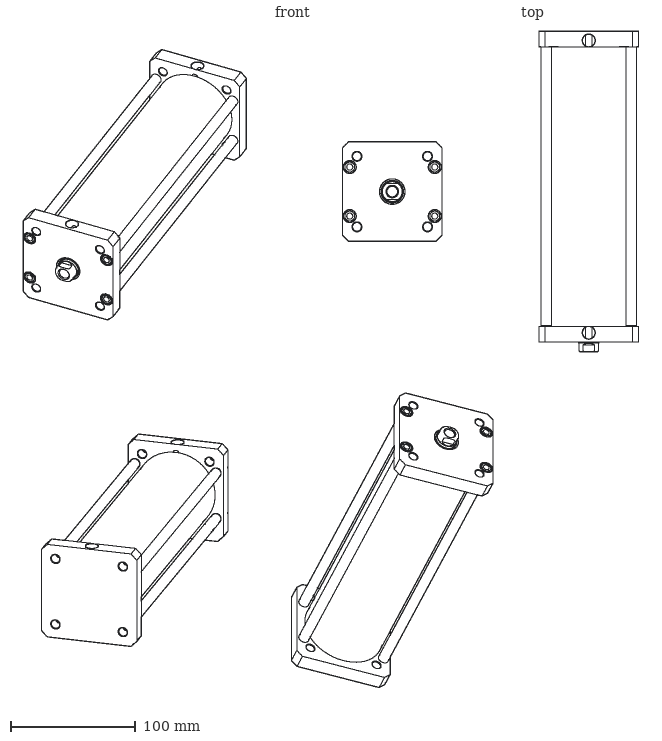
import cadquery as cq
import math

total_length = 257.0
rod_projection = 8.0
cap_thickness = 12.5
front_face_y = rod_projection
tube_front_y = front_face_y + cap_thickness
rear_cap_y = total_length - cap_thickness

cap_width = 80.0
corner_chamfer = 5.0
mount_spacing = 56.5
mount_diameter = 7.0
mount_chamfer = 0.5

port_diameter = 10.0
port_mouth = 10.5
port_depth = 10.3
bar_depth = 7.7
port_inset = 5.1
drill_tip_angle = 118.0
bar_diameter = 5.0
front_port_y = tube_front_y - port_inset
rear_port_y = rear_cap_y + port_inset

tube_diameter = 66.0
bore_diameter = 63.0

tie_circle_diameter = 78.6
tie_angle = 30.0
tie_diameter = 8.5
tie_neck_diameter = 8.0
tie_neck_gap = 0.8
tie_recess_diameter = 10.0
tie_recess_mouth = 10.5
tie_recess_depth = 1.3
tie_hole_diameter = 5.0
tie_hole_depth = 5.1

shaft_diameter = 16.5
shaft_projection = 0.8
head_diameter = 16.0
head_length = rod_projection - shaft_projection
rod_flats = 12.8
flat_length = 5.5
tip_fillet = 1.5
rod_hole_diameter = 8.5
rod_hole_mouth = 10.0
rod_hole_depth = 15.5
rod_hole_tip_angle = 160.0

seal_diameter = 20.3
seal_mouth = 20.5
seal_depth = 0.8
inner_seal_diameter = 17.7
inner_seal_mouth = 18.0
inner_seal_depth = 0.8

tie_x = tie_circle_diameter / 2 * math.cos(math.radians(tie_angle))
tie_z = tie_circle_diameter / 2 * math.sin(math.radians(tie_angle))
tie_points = [(x, z) for x in (-tie_x, tie_x) for z in (-tie_z, tie_z)]
mount_points = [(x, z) for x in (-mount_spacing / 2, mount_spacing / 2)
                for z in (-mount_spacing / 2, mount_spacing / 2)]


def rod_along_y(x, z, y_start, y_end, diameter):
    """A plain cylinder parallel to Y."""
    base = cq.Workplane("XZ", origin=(x, y_start, z))
    return base.circle(diameter / 2).extrude(y_start - y_end)


def cone_along_y(x, z, y_start, y_end, start_diameter, end_diameter):
    """A cone parallel to Y."""
    return cq.Workplane(cq.Solid.makeCone(
        start_diameter / 2, end_diameter / 2, y_end - y_start,
        cq.Vector(x, y_start, z), cq.Vector(0, 1, 0)))


def drill(depth, diameter, mouth_diameter, tip_angle):
    """The shape of a hole drilled along +Z from the origin: 45 degree mouth, bore, conical tip."""
    radius = diameter / 2
    mouth_radius = mouth_diameter / 2
    tip_height = radius / math.tan(math.radians(tip_angle / 2))
    profile = [(0, 0), (mouth_radius, 0)]
    if mouth_radius > radius:
        profile.append((radius, mouth_radius - radius))
    profile += [(radius, depth), (0, depth + tip_height)]
    return cq.Workplane("XZ").polyline(profile).close().revolve(360, (0, 0), (0, 1))


def drill_along_y(x, z, y_start, depth, diameter, mouth_diameter, tip_angle):
    hole = drill(depth, diameter, mouth_diameter, tip_angle).rotate((0, 0, 0), (1, 0, 0), -90)
    return hole.translate((x, y_start, z))


def make_cap(y_start, port_y):
    """A square end cap with mounting holes and an air port."""
    y_end = y_start + cap_thickness
    cap = cq.Workplane("XY").box(cap_width, cap_thickness, cap_width)
    cap = cap.edges("|Y").chamfer(corner_chamfer).translate((0, y_start + cap_thickness / 2, 0))
    mount_mouth = mount_diameter + 2 * mount_chamfer
    for x, z in mount_points:
        cap = cap.cut(rod_along_y(x, z, y_start, y_end, mount_diameter))
        cap = cap.cut(cone_along_y(x, z, y_start, y_start + mount_chamfer, mount_mouth, mount_diameter))
        cap = cap.cut(cone_along_y(x, z, y_end - mount_chamfer, y_end, mount_diameter, mount_mouth))

    port = drill(port_depth, port_diameter, port_mouth, drill_tip_angle).rotate((0, 0, 0), (1, 0, 0), 180)
    port = port.translate((0, port_y, cap_width / 2))
    bar_z = cap_width / 2 - bar_depth
    bar = rod_along_y(0, bar_z, port_y - port_diameter / 2, port_y + port_diameter / 2, bar_diameter)
    return cap.cut(port.cut(bar))


def counterbore(x, z, y_start, depth, diameter, mouth_diameter):
    """A flat-bottomed hole along +Y with a 45 degree mouth chamfer."""
    chamfer = (mouth_diameter - diameter) / 2
    hole = rod_along_y(x, z, y_start, y_start + depth, diameter)
    return hole.union(cone_along_y(x, z, y_start, y_start + chamfer, mouth_diameter, diameter))


def make_front_cap():
    cap = make_cap(front_face_y, front_port_y)
    cap = cap.cut(rod_along_y(0, 0, front_face_y, tube_front_y, shaft_diameter))
    cap = cap.cut(counterbore(0, 0, front_face_y, seal_depth, seal_diameter, seal_mouth))
    cap = cap.cut(counterbore(
        0, 0, front_face_y + seal_depth, inner_seal_depth, inner_seal_diameter, inner_seal_mouth))
    for x, z in tie_points:
        cap = cap.cut(rod_along_y(x, z, front_face_y, tube_front_y, tie_neck_diameter))
        cap = cap.cut(counterbore(
            x, z, front_face_y, tie_recess_depth, tie_recess_diameter, tie_recess_mouth))
    return cap


def make_tube():
    tube = rod_along_y(0, 0, tube_front_y, rear_cap_y, tube_diameter)
    return tube.cut(rod_along_y(0, 0, tube_front_y, rear_cap_y, bore_diameter))


def make_tie_rod(x, z):
    shoulder_y = tube_front_y + tie_neck_gap
    rod = rod_along_y(x, z, shoulder_y, rear_cap_y, tie_diameter)
    rod = rod.union(rod_along_y(x, z, front_face_y, shoulder_y, tie_neck_diameter))
    return rod.cut(drill_along_y(
        x, z, front_face_y, tie_hole_depth, tie_hole_diameter, tie_hole_diameter, drill_tip_angle))


def make_piston_rod():
    rod = rod_along_y(0, 0, 0, head_length, head_diameter).faces("<Y").edges().fillet(tip_fillet)
    rod = rod.union(rod_along_y(0, 0, head_length, rear_cap_y, shaft_diameter))
    rod = rod.cut(drill_along_y(
        0, 0, 0, rod_hole_depth, rod_hole_diameter, rod_hole_mouth, rod_hole_tip_angle))
    flat_z = rod_flats / 2
    side_z = head_diameter / 2
    slope_end_y = flat_length + side_z - flat_z
    profile = [(0, flat_z), (flat_length, flat_z), (slope_end_y, side_z), (0, side_z)]
    flat = cq.Workplane("YZ").polyline(profile).close().extrude(head_diameter / 2, both=True)
    return rod.cut(flat).cut(flat.mirror("XY"))


front_cap = make_front_cap()
rear_cap = make_cap(rear_cap_y, rear_port_y)
tube = make_tube()
piston_rod = make_piston_rod()
tie_rods = [make_tie_rod(x, z) for x, z in tie_points]

result = cq.Compound.makeCompound(
    [front_cap.val(), rear_cap.val(), tube.val(), piston_rod.val(), *[rod.val() for rod in tie_rods]])